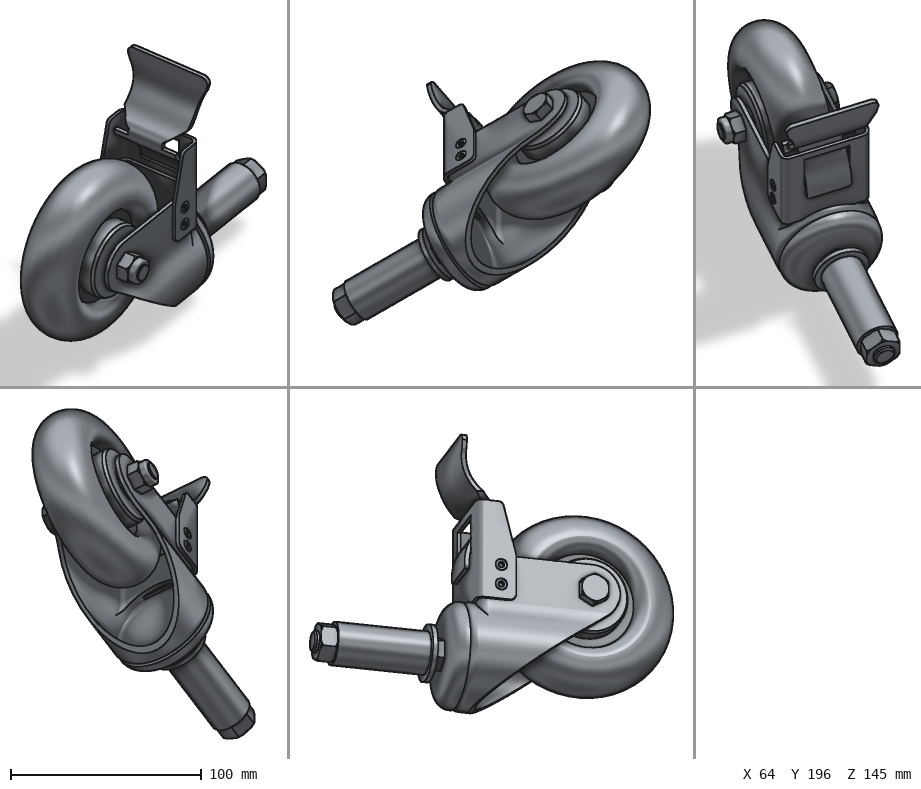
import cadquery as cq
import math


WHEEL_RADIUS = 50.0
TREAD_RADIUS = 16.0
RIM_ROUND = 7.5
HUB_RADIUS = 21.2
HUB_FACE_RADIUS = 20.2
HUB_HALF_LENGTH = 18.0
HUB_CHAMFER = 1.8
SPACER_RADIUS = 10.2

SHEET = 2.4
FORK_HALF_WIDTH = 23.1
FORK_TIP_RADIUS = 15.0
FORK_BACK_Y = 61.5
FORK_BEND = 5.3
FORK_CUT_ANGLE = math.radians(37)
STEM_Z = -35.0
CUP_RADIUS = 29.0
CUP_BLEND = 22.5
CROWN_Y = 67.8
CROWN_ROUND = 4.7

CAP_RADIUS = 28.6
CAP_TOP_Y = 76.0
CAP_ROUND = 7.8
STEM_HEX_WIDTH = 16.0
COLLAR_Y = 81.7
COLLAR_RADIUS = 15.3
SLEEVE_Y = 84.5
SLEEVE_RADIUS = 11.5
STEM_NUT_Y = 134.8
STEM_NUT_WIDTH = 18.6
STUD_Y = 143.7
STUD_TIP_Y = 146.0
STUD_RADIUS = 5.9
STUD_CHAMFER = 1.0
NUT_CHAMFER = 1.0

BOLT_HEX_WIDTH = 14.5
BOLT_HEAD_X = -29.0
AXLE_NUT_X = 30.2
NUT_COLLAR_X = 34.1
NUT_COLLAR_RADIUS = 7.0
BOLT_TIP_X = 35.0
BOLT_RADIUS = 4.5

BRACKET_SHEET = 1.86
BRACKET_HALF_WIDTH = FORK_HALF_WIDTH + BRACKET_SHEET
BRACKET_BACK_Y = FORK_BACK_Y + BRACKET_SHEET
BRACKET_BEND = 4.3
BRACKET_TOP_Z = 44.7
BRACKET_BOTTOM_Z = -10.0
BRACKET_TOP_FRONT_Y = 49.4
BRACKET_FRONT_Y = 42.0
BRACKET_SLOPE_END_Z = 15.0
BRACKET_TOP_ROUND = 3.0
BRACKET_SLOPE_ROUND = 15.7
BRACKET_BOTTOM_ROUND = 3.5
WINDOW_HALF_WIDTH = 12.7
WINDOW_BOTTOM_Z = 19.0
WINDOW_TOP_Z = 40.0

RIVET_Y = 50.2
RIVET_HEIGHTS = (9.0, -2.0)
RIVET_RADIUS = 3.1
RIVET_ROLL = 0.8
RIVET_BORE_RADIUS = 1.47

LEAF = 2.5
PEDAL_TOP_Z = 81.0
PEDAL_FLAT_Z = 72.7
PEDAL_BACK_Y = 71.5
HOLLOW_RADIUS = 27.5
CURL_RADIUS = 7.3
CURL_Z = 41.2
TAIL_RADIUS = 27.0
TAIL_BACK_Y = 66.6
TAIL_END_Z = 10.2
PEDAL_HALF_WIDTH = 25.9
PEDAL_CORNER = 4.0
FLARE_TOP_HALF_WIDTH = 24.7
WAIST_HALF_WIDTH = 20.4
WAIST_TOP_Z = 56.8
WAIST_BOTTOM_Z = 51.2
FLARE_MID_HALF_WIDTH = 21.5
FLARE_MID_Z = 65.3
NECK_HALF_WIDTH = 11.0
NECK_TOP_Z = 44.5
STUB_HALF_WIDTH = 20.0
TAIL_HALF_WIDTH = 12.5
TAIL_CORNER = 2.2


def rod_y(y_start, y_end, radius):
    """Round rod on the stem axis."""
    plane = cq.Workplane("XZ", origin=(0, y_end, STEM_Z))
    return plane.circle(radius).extrude(y_end - y_start)


def rod_x(x_start, x_end, radius):
    """Round rod on the wheel axis."""
    return cq.Workplane("YZ", origin=(x_start, 0, 0)).circle(radius).extrude(x_end - x_start)


def hexagon(width):
    """Corners of a hexagon with two corners on the local vertical axis."""
    corner = width / math.sqrt(3)
    angles = [math.radians(90 + 60 * i) for i in range(6)]
    return [(corner * math.cos(a), corner * math.sin(a)) for a in angles]


def hex_y(y_start, y_end, width):
    """Hexagonal prism on the stem axis."""
    plane = cq.Workplane("XZ", origin=(0, y_end, STEM_Z))
    return plane.polyline(hexagon(width)).close().extrude(y_end - y_start)


def hex_x(x_start, x_end, width):
    """Hexagonal prism on the wheel axis."""
    plane = cq.Workplane("YZ", origin=(x_start, 0, 0))
    return plane.polyline(hexagon(width)).close().extrude(x_end - x_start)


def make_wheel():
    """Tyre, web, hub and side spacers, turned about the axle."""
    tread_center = WHEEL_RADIUS - TREAD_RADIUS
    web_half = TREAD_RADIUS - RIM_ROUND
    web_radius = tread_center - RIM_ROUND
    arc_mid = RIM_ROUND * math.sqrt(0.5)
    hub_face = HUB_HALF_LENGTH
    wheel = (
        cq.Workplane("XY")
        .moveTo(-hub_face, 0)
        .lineTo(-hub_face, HUB_FACE_RADIUS)
        .lineTo(-hub_face + HUB_CHAMFER, HUB_RADIUS)
        .lineTo(-web_half, HUB_RADIUS)
        .lineTo(-web_half, web_radius)
        .threePointArc((-web_half - arc_mid, tread_center - arc_mid), (-TREAD_RADIUS, tread_center))
        .threePointArc((0, WHEEL_RADIUS), (TREAD_RADIUS, tread_center))
        .threePointArc((web_half + arc_mid, tread_center - arc_mid), (web_half, web_radius))
        .lineTo(web_half, HUB_RADIUS)
        .lineTo(hub_face - HUB_CHAMFER, HUB_RADIUS)
        .lineTo(hub_face, HUB_FACE_RADIUS)
        .lineTo(hub_face, 0)
        .close()
        .revolve(360, (0, 0, 0), (1, 0, 0))
    )
    fork_inside = FORK_HALF_WIDTH - SHEET
    return wheel.union(rod_x(-fork_inside, fork_inside, SPACER_RADIUS))


def fork_block(inset):
    """Solid block bounded by the fork's outer skin moved inwards by `inset`."""
    half_width = FORK_HALF_WIDTH - inset
    cup_radius = CUP_RADIUS - inset
    blend = CUP_BLEND + inset
    bend = FORK_BEND - inset
    back_y = FORK_BACK_Y - inset
    depth = back_y + FORK_TIP_RADIUS

    center_x = half_width + blend
    center_drop = math.sqrt((cup_radius + blend) ** 2 - center_x**2)
    center_z = STEM_Z + center_drop
    touch = cup_radius / (cup_radius + blend)
    touch_x = center_x * touch
    touch_z = STEM_Z + center_drop * touch
    mid_angle = math.atan2(center_drop, center_x) / 2
    mid_x = center_x - blend * math.cos(mid_angle)
    mid_z = center_z - blend * math.sin(mid_angle)

    channel = (
        cq.Workplane("XZ", origin=(0, back_y, 0))
        .moveTo(-half_width, FORK_TIP_RADIUS)
        .lineTo(-half_width, center_z)
        .threePointArc((-mid_x, mid_z), (-touch_x, touch_z))
        .lineTo(touch_x, touch_z)
        .threePointArc((mid_x, mid_z), (half_width, center_z))
        .lineTo(half_width, FORK_TIP_RADIUS)
        .close()
        .extrude(depth)
    )
    channel = channel.faces(">Y").edges("not (>Z or <Z)").fillet(bend)

    cup = rod_y(-FORK_TIP_RADIUS, CROWN_Y - inset, cup_radius)
    cup = cup.faces(">Y").edges().fillet(CROWN_ROUND - inset)
    return channel.union(cup)


def make_fork():
    """Sheet-metal fork: channel and cup, cut off obliquely below the axle."""
    sheet = fork_block(0).cut(fork_block(SHEET))
    reach = 2 * CROWN_Y
    touch_y = -FORK_TIP_RADIUS * math.sin(FORK_CUT_ANGLE)
    touch_z = -FORK_TIP_RADIUS * math.cos(FORK_CUT_ANGLE)
    side_outline = (
        cq.Workplane("YZ")
        .moveTo(0, FORK_TIP_RADIUS)
        .lineTo(reach, FORK_TIP_RADIUS)
        .lineTo(reach, touch_z - (reach - touch_y) * math.tan(FORK_CUT_ANGLE))
        .lineTo(touch_y, touch_z)
        .threePointArc((-FORK_TIP_RADIUS, 0), (0, FORK_TIP_RADIUS))
        .close()
        .extrude(2 * CUP_RADIUS, both=True)
    )
    return sheet.intersect(side_outline)


def chamfered_nut(y_start, y_end, width):
    """Hexagon nut on the stem axis with its corners turned off at both ends."""
    turned = rod_y(y_start, y_end, width / math.sqrt(3)).faces("<Y or >Y").edges().chamfer(NUT_CHAMFER)
    return hex_y(y_start, y_end, width).intersect(turned)


def make_stem():
    """Swivel cap, hexagon, collar, sleeve, nut and stud tip, stacked along Y."""
    cap = rod_y(CROWN_Y, CAP_TOP_Y, CAP_RADIUS).faces(">Y").edges().fillet(CAP_ROUND)
    tip = rod_y(STUD_Y, STUD_TIP_Y, STUD_RADIUS).faces(">Y").edges().chamfer(STUD_CHAMFER)
    return (
        cap.union(hex_y(CAP_TOP_Y, COLLAR_Y, STEM_HEX_WIDTH))
        .union(rod_y(COLLAR_Y, SLEEVE_Y, COLLAR_RADIUS))
        .union(rod_y(SLEEVE_Y, STEM_NUT_Y, SLEEVE_RADIUS))
        .union(chamfered_nut(STEM_NUT_Y, STUD_Y, STEM_NUT_WIDTH))
        .union(tip)
    )


def make_axle():
    """Bolt through fork and wheel, with hexagon head at -X and locking nut at +X."""
    corner = BOLT_HEX_WIDTH / math.sqrt(3)
    turned = rod_x(BOLT_HEAD_X, AXLE_NUT_X, corner).faces("<X or >X").edges().chamfer(NUT_CHAMFER)
    head = hex_x(BOLT_HEAD_X, -FORK_HALF_WIDTH, BOLT_HEX_WIDTH).intersect(turned)
    nut = hex_x(FORK_HALF_WIDTH, AXLE_NUT_X, BOLT_HEX_WIDTH).intersect(turned)
    collar = rod_x(AXLE_NUT_X, NUT_COLLAR_X, NUT_COLLAR_RADIUS).faces(">X").edges().fillet(NUT_CHAMFER)
    return rod_x(-FORK_HALF_WIDTH, BOLT_TIP_X, BOLT_RADIUS).union(head).union(nut).union(collar)


def round_edge(body, y, z, radius):
    """Round the edge that runs along X at (y, z)."""
    return body.edges("|X").edges(cq.NearestToPointSelector((0, y, z))).fillet(radius)


def make_bracket():
    """U-shaped brake bracket with tapering side flanges and a window in its back."""
    height = BRACKET_TOP_Z - BRACKET_BOTTOM_Z
    base = cq.Workplane("XY", origin=(0, 0, BRACKET_BOTTOM_Z))
    outer = base.rect(2 * BRACKET_HALF_WIDTH, 2 * BRACKET_BACK_Y).extrude(height)
    outer = outer.edges("|Z and >Y").fillet(BRACKET_BEND)
    inner = base.rect(2 * FORK_HALF_WIDTH, 2 * FORK_BACK_Y).extrude(height)
    inner = inner.edges("|Z and >Y").fillet(BRACKET_BEND - BRACKET_SHEET)
    flange = (
        cq.Workplane("YZ")
        .moveTo(BRACKET_BACK_Y, BRACKET_TOP_Z)
        .lineTo(BRACKET_TOP_FRONT_Y, BRACKET_TOP_Z)
        .lineTo(BRACKET_FRONT_Y, BRACKET_SLOPE_END_Z)
        .lineTo(BRACKET_FRONT_Y, BRACKET_BOTTOM_Z)
        .lineTo(BRACKET_BACK_Y, BRACKET_BOTTOM_Z)
        .close()
        .extrude(BRACKET_HALF_WIDTH, both=True)
    )
    flange = round_edge(flange, BRACKET_TOP_FRONT_Y, BRACKET_TOP_Z, BRACKET_TOP_ROUND)
    flange = round_edge(flange, BRACKET_FRONT_Y, BRACKET_SLOPE_END_Z, BRACKET_SLOPE_ROUND)
    flange = round_edge(flange, BRACKET_FRONT_Y, BRACKET_BOTTOM_Z, BRACKET_BOTTOM_ROUND)
    window = (
        cq.Workplane("XY", origin=(0, BRACKET_BACK_Y, WINDOW_BOTTOM_Z))
        .rect(2 * WINDOW_HALF_WIDTH, 4 * BRACKET_SHEET)
        .extrude(WINDOW_TOP_Z - WINDOW_BOTTOM_Z)
    )
    return outer.cut(inner).intersect(flange).cut(window)


def make_rivet_rim(side, z):
    """Rolled rivet rim: a ring half sunk into the flange at `side` (-1 or +1)."""
    center = cq.Vector(side * BRACKET_HALF_WIDTH, RIVET_Y, z)
    ring_radius = RIVET_RADIUS - RIVET_ROLL
    return cq.Workplane(cq.Solid.makeTorus(ring_radius, RIVET_ROLL, center, cq.Vector(side, 0, 0)))


def make_rivet_bore(z):
    """Bore of the rivets on both flanges at height `z`, as deep as the bracket sheet is thick."""
    bore = cq.Workplane("YZ").center(RIVET_Y, z).circle(RIVET_BORE_RADIUS)
    bore = bore.extrude(BRACKET_HALF_WIDTH, both=True)
    between_flanges = cq.Workplane("XY").box(2 * FORK_HALF_WIDTH, 2 * CROWN_Y, 2 * CROWN_Y)
    return bore.cut(between_flanges)


def make_caster():
    """Wheel, fork, stem, axle and bracket, fastened together as one body."""
    caster = make_fork().union(make_wheel()).union(make_stem()).union(make_axle()).union(make_bracket())
    for z in RIVET_HEIGHTS:
        for side in (-1, 1):
            caster = caster.union(make_rivet_rim(side, z))
        caster = caster.cut(make_rivet_bore(z))
    return caster


def make_pedal():
    """Brake pedal: leaf profile in the YZ plane, trimmed to its changing width."""
    front_y = PEDAL_BACK_Y - LEAF
    hollow = (front_y - HOLLOW_RADIUS, PEDAL_FLAT_Z)
    hollow_to_curl = HOLLOW_RADIUS + CURL_RADIUS
    curl_run = math.sqrt(hollow_to_curl**2 - (PEDAL_FLAT_Z - CURL_Z) ** 2)
    curl = (hollow[0] + curl_run, CURL_Z)
    curl_inside = CURL_RADIUS - LEAF
    tail_y = TAIL_BACK_Y - TAIL_RADIUS
    tail_drop = math.sqrt((TAIL_RADIUS + curl_inside) ** 2 - (curl[0] - tail_y) ** 2)
    tail = (tail_y, CURL_Z - tail_drop)

    def on_circle(center, radius, angle):
        return (center[0] + radius * math.cos(angle), center[1] + radius * math.sin(angle))

    hollow_end = -math.acos(curl_run / hollow_to_curl)
    curl_start = math.pi + hollow_end
    curl_end = math.pi + math.atan2(tail_drop, curl[0] - tail_y)
    curl_mid = (curl_start + curl_end) / 2
    tail_start = curl_end - math.pi
    tail_end = math.asin((TAIL_END_Z - tail[1]) / TAIL_RADIUS)
    tail_mid = (tail_start + tail_end) / 2
    hollow_back = HOLLOW_RADIUS + LEAF
    tail_front = TAIL_RADIUS - LEAF

    leaf = (
        cq.Workplane("YZ")
        .moveTo(front_y, PEDAL_TOP_Z)
        .lineTo(front_y, PEDAL_FLAT_Z)
        .threePointArc(
            on_circle(hollow, HOLLOW_RADIUS, hollow_end / 2),
            on_circle(hollow, HOLLOW_RADIUS, hollow_end),
        )
        .threePointArc(on_circle(curl, CURL_RADIUS, curl_mid), on_circle(curl, CURL_RADIUS, curl_end))
        .threePointArc(on_circle(tail, tail_front, tail_mid), on_circle(tail, tail_front, tail_end))
        .lineTo(*on_circle(tail, TAIL_RADIUS, tail_end))
        .threePointArc(on_circle(tail, TAIL_RADIUS, tail_mid), on_circle(tail, TAIL_RADIUS, tail_start))
        .threePointArc(on_circle(curl, curl_inside, curl_mid), on_circle(curl, curl_inside, curl_start))
        .threePointArc(on_circle(hollow, hollow_back, hollow_end / 2), (PEDAL_BACK_Y, PEDAL_FLAT_Z))
        .lineTo(PEDAL_BACK_Y, PEDAL_TOP_Z)
        .close()
        .extrude(PEDAL_HALF_WIDTH, both=True)
    )

    tread_width = (
        cq.Workplane("XZ", origin=(0, PEDAL_BACK_Y, 0))
        .moveTo(-NECK_HALF_WIDTH, CURL_Z)
        .lineTo(-NECK_HALF_WIDTH, NECK_TOP_Z)
        .lineTo(-WAIST_HALF_WIDTH, WAIST_BOTTOM_Z)
        .lineTo(-WAIST_HALF_WIDTH, WAIST_TOP_Z)
        .threePointArc((-FLARE_MID_HALF_WIDTH, FLARE_MID_Z), (-FLARE_TOP_HALF_WIDTH, PEDAL_FLAT_Z))
        .lineTo(-PEDAL_HALF_WIDTH, PEDAL_TOP_Z - PEDAL_CORNER)
        .radiusArc((-PEDAL_HALF_WIDTH + PEDAL_CORNER, PEDAL_TOP_Z), PEDAL_CORNER)
        .lineTo(0, PEDAL_TOP_Z)
        .lineTo(0, CURL_Z)
        .close()
        .extrude(PEDAL_BACK_Y)
    )
    tread_width = tread_width.union(tread_width.mirror("YZ"))

    curl_joint = on_circle(curl, curl_inside, curl_end)
    stub_width = (
        cq.Workplane("XY")
        .rect(2 * STUB_HALF_WIDTH, 2 * curl_joint[0])
        .extrude(CURL_Z)
    )
    tail_width = (
        cq.Workplane("XY", origin=(0, 0, TAIL_END_Z))
        .rect(2 * TAIL_HALF_WIDTH, 2 * PEDAL_BACK_Y)
        .extrude(CURL_Z - TAIL_END_Z)
        .edges("|Y and <Z")
        .fillet(TAIL_CORNER)
    )
    return leaf.intersect(tread_width.union(stub_width).union(tail_width))


caster = make_caster()
pedal = make_pedal()
result = cq.Compound.makeCompound([caster.solids().val(), pedal.solids().val()])